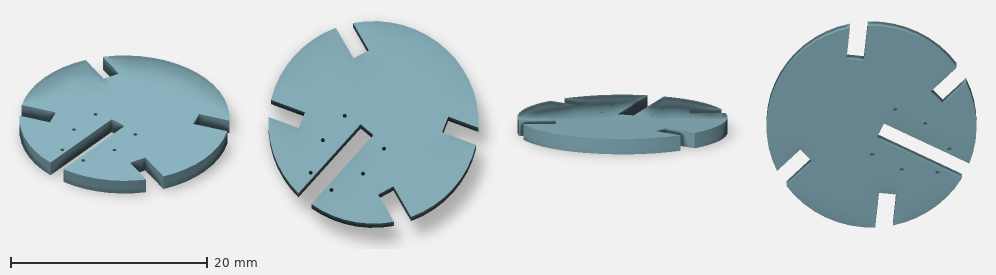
import cadquery as cq

disc_diameter = 21.43
thickness = 1.6

long_slot_width = 1.74
long_slot_end_y = -1.0

notch_width = 1.78
notch_tilt = 20.0
notch_floor = 6.9
notch_offset = 2.4

hole_diameter = 0.4
hole_centers = [
    (-2.68, -1.4),
    (2.64, -1.4),
    (-2.68, -4.8),
    (2.75, -4.8),
    (-1.35, -8.2),
    (1.44, -8.2),
]


def make_long_slot():
    """Slot cutter running from its closed end past the -Y edge of the disc."""
    length = disc_diameter / 2
    return (
        cq.Workplane("XY")
        .center(0, long_slot_end_y - length / 2)
        .rect(long_slot_width, length)
        .extrude(thickness)
    )


def make_notch():
    """Notch cutter for the +X +Y quadrant, running past the disc edge."""
    length = disc_diameter / 2 - notch_floor
    return (
        cq.Workplane("XY")
        .center(notch_floor + length / 2, notch_offset)
        .rect(length, notch_width)
        .extrude(thickness)
        .rotate((0, 0, 0), (0, 0, 1), notch_tilt)
    )


result = cq.Workplane("XY").circle(disc_diameter / 2).extrude(thickness)
result = result.cut(make_long_slot())

upper_right_notch = make_notch()
upper_left_notch = upper_right_notch.mirror("YZ")
for upper_notch in (upper_right_notch, upper_left_notch):
    result = result.cut(upper_notch)
    result = result.cut(upper_notch.mirror("XZ"))

holes = cq.Workplane("XY").pushPoints(hole_centers).circle(hole_diameter / 2).extrude(thickness)
result = result.cut(holes)